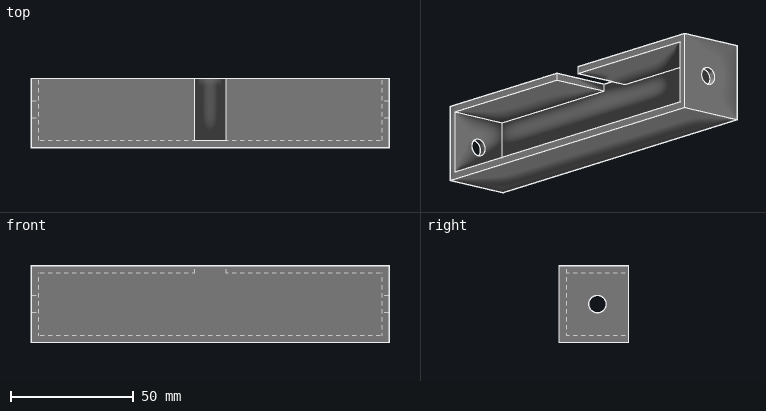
import cadquery as cq

wall = 3.0
cavity_length = 140.0
cavity_side = 25.4

length = cavity_length + 2 * wall
depth = cavity_side + wall
height = cavity_side + 2 * wall

slot_width = 13.0
hole_diameter = 7.0

back_y = depth / 2
cavity_centre_y = back_y - cavity_side / 2
cavity_top_z = cavity_side / 2


def make_box():
    return cq.Workplane("XY").box(length, depth, height)


def make_cavity():
    """Space inside the walls, reaching the open +Y side."""
    cavity = cq.Workplane("XY").box(cavity_length, cavity_side, cavity_side)
    return cavity.translate((0, cavity_centre_y, 0))


def make_top_slot():
    """Slot through the top wall at mid-length, from the open side to the front wall."""
    slot = cq.Workplane("XY").box(slot_width, cavity_side, wall)
    return slot.translate((0, cavity_centre_y, cavity_top_z + wall / 2))


def make_end_holes():
    """One bore along X, centred on the cavity, piercing both end walls."""
    return (
        cq.Workplane("YZ")
        .center(cavity_centre_y, 0)
        .circle(hole_diameter / 2)
        .extrude(length / 2, both=True)
    )


result = make_box().cut(make_cavity()).cut(make_top_slot()).cut(make_end_holes())